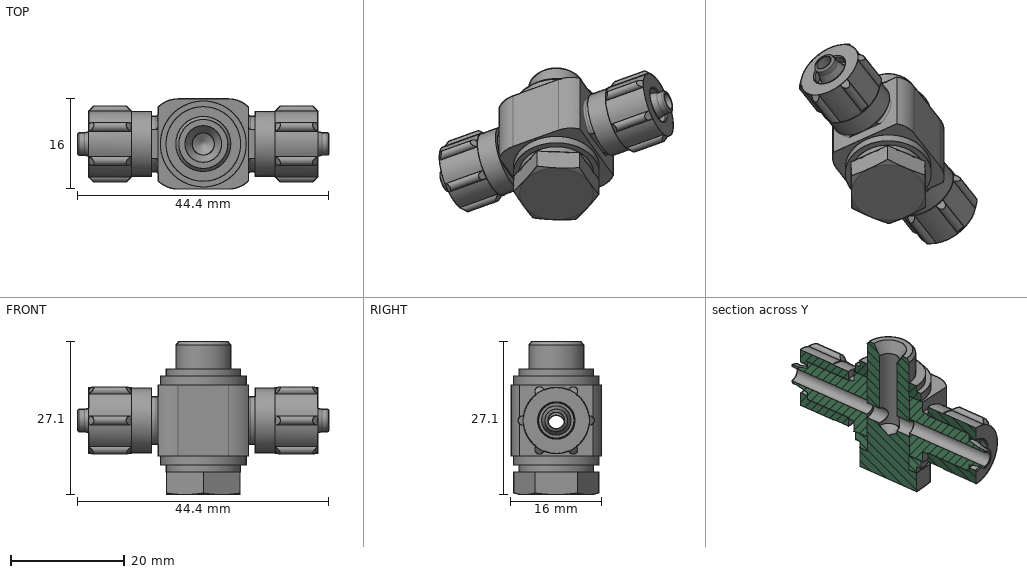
import cadquery as cq
import math


block_width = 16.0
block_height = 12.6
block_half = block_width / 2
corner_flat_half = 6.53
corner_radius = 4.97

collar_diameter = 9.9
collar_flats = 8.45
collar_fillet = 0.35
nut_start = 9.15
thread_diameter = 8.0
thread_end = 18.65
cone_diameter = 5.2
spout_start = 20.95
spout_diameter = 4.0
spout_end = 22.2
spout_edge_radius = 0.3
hose_bore_diameter = 2.9

nut_collar_diameter = 11.5
grip_start = 12.7
nut_end = 20.25
grip_diameter = 11.7
nut_mouth_diameter = 6.6
nut_throat_diameter = 6.2
nut_mouth_depth = 0.2
rib_count = 6
rib_circle_radius = 5.95
rib_radius = 0.8
rib_chamfer = 0.95

seal_diameter = 15.2
seal_thickness = 1.6
seal_step_diameter = 13.2
seal_step_height = 1.2
seal_height = seal_thickness + seal_step_height

shank_diameter = 9.72
bolt_protrusion = 4.9
bolt_chamfer_height = 0.65
bolt_chamfer_inset = 0.55
hex_across_flats = 13.05
hex_height = 4.0
hex_chamfer_diameter = 12.95
hex_chamfer_angle = 15.0
bolt_bore_diameter = 3.9
bolt_bore_bottom = -2.65
drill_tip_angle = 118.0
countersink_diameter = 6.5
countersink_depth = 2.05
cross_hole_diameter = 3.0
cross_hole_z = -0.6

head_top = -block_height / 2 - seal_height
head_bottom = head_top - hex_height
bolt_top = block_height / 2 + seal_height + bolt_protrusion


def rod(diameter, start, end):
    """Round rod along X between two distances from the middle."""
    return cq.Workplane("YZ").workplane(offset=start).circle(diameter / 2).extrude(end - start)


def upright(diameter, bottom, top):
    """Round rod along Z between two heights."""
    return cq.Workplane("XY").workplane(offset=bottom).circle(diameter / 2).extrude(top - bottom)


def place_on_side(shape, side):
    """The +X shape itself for side 1, or its half turn about Z for side -1."""
    return shape if side > 0 else shape.rotate((0, 0, 0), (0, 0, 1), 180)


def make_block():
    """Square block whose upright corners are arcs that run smoothly into the front and back."""
    arc_center_y = block_half - corner_radius
    end_rise = corner_flat_half - arc_center_y
    arc_center_x = block_half - math.sqrt(corner_radius**2 - end_rise**2)
    mid_angle = (math.radians(90) + math.asin(end_rise / corner_radius)) / 2
    mid_x = arc_center_x + corner_radius * math.cos(mid_angle)
    mid_y = arc_center_y + corner_radius * math.sin(mid_angle)
    return (
        cq.Workplane("XY")
        .workplane(offset=-block_height / 2)
        .moveTo(block_half, -corner_flat_half)
        .lineTo(block_half, corner_flat_half)
        .threePointArc((mid_x, mid_y), (arc_center_x, block_half))
        .lineTo(-arc_center_x, block_half)
        .threePointArc((-mid_x, mid_y), (-block_half, corner_flat_half))
        .lineTo(-block_half, -corner_flat_half)
        .threePointArc((-mid_x, -mid_y), (-arc_center_x, -block_half))
        .lineTo(arc_center_x, -block_half)
        .threePointArc((mid_x, -mid_y), (block_half, -corner_flat_half))
        .close()
        .extrude(block_height)
    )


def make_hose_collar():
    """Collar on the +X side with a flared foot, flattened at the top and bottom."""
    collar_radius = collar_diameter / 2
    foot_radius = collar_radius + collar_fillet
    foot_end = block_half + collar_fillet
    arc_inset = collar_fillet * (1 - math.sqrt(0.5))
    collar = (
        cq.Workplane("XY")
        .moveTo(0, 0)
        .lineTo(0, foot_radius)
        .lineTo(block_half, foot_radius)
        .threePointArc((block_half + arc_inset, collar_radius + arc_inset), (foot_end, collar_radius))
        .lineTo(nut_start, collar_radius)
        .lineTo(nut_start, 0)
        .close()
        .revolve(360, (0, 0, 0), (1, 0, 0))
    )
    flats = cq.Workplane("XY").box(2 * nut_start, block_width, collar_flats)
    return collar.intersect(flats)


def make_hose_spout():
    """Threaded stub, cone and round-edged spout on the +X side."""
    spout_radius = spout_diameter / 2
    spout = (
        cq.Workplane("XY")
        .moveTo(0, 0)
        .lineTo(0, thread_diameter / 2)
        .lineTo(thread_end, thread_diameter / 2)
        .lineTo(thread_end, cone_diameter / 2)
        .lineTo(spout_start, spout_radius)
        .lineTo(spout_end, spout_radius)
        .lineTo(spout_end, 0)
        .close()
        .revolve(360, (0, 0, 0), (1, 0, 0))
    )
    return spout.faces(">X").edges().fillet(spout_edge_radius)


def make_body():
    hose_end = make_hose_collar().union(make_hose_spout())
    body = make_block()
    for side in (1, -1):
        body = body.union(place_on_side(hose_end, side))
    body = body.cut(rod(hose_bore_diameter, -spout_end, spout_end))
    return body.cut(upright(shank_diameter, -block_height / 2, block_height / 2))


def make_rib():
    """Half-sunk grip rib along X on the +Y side, with both ends sloped down to the grip."""
    crest = rib_circle_radius + rib_radius
    foot = crest - rib_chamfer
    rib = rod(2 * rib_radius, grip_start, nut_end).translate((0, rib_circle_radius, 0))
    outline = (
        cq.Workplane("XY")
        .workplane(offset=-rib_radius)
        .moveTo(grip_start, 0)
        .lineTo(grip_start, foot)
        .lineTo(grip_start + rib_chamfer, crest)
        .lineTo(nut_end - rib_chamfer, crest)
        .lineTo(nut_end, foot)
        .lineTo(nut_end, 0)
        .close()
        .extrude(2 * rib_radius)
    )
    return rib.intersect(outline)


def make_nut(side):
    nut = rod(nut_collar_diameter, nut_start, grip_start)
    nut = nut.union(rod(grip_diameter, grip_start, nut_end))
    rib = make_rib()
    for index in range(rib_count):
        nut = nut.union(rib.rotate((0, 0, 0), (1, 0, 0), index * 360 / rib_count))
    nut = nut.cut(rod(thread_diameter, nut_start, thread_end))
    nut = nut.cut(rod(nut_throat_diameter, thread_end, nut_end))
    mouth = (
        cq.Workplane("YZ")
        .workplane(offset=nut_end - nut_mouth_depth)
        .circle(nut_throat_diameter / 2)
        .workplane(offset=nut_mouth_depth)
        .circle(nut_mouth_diameter / 2)
        .loft()
    )
    return place_on_side(nut.cut(mouth), side)


def make_seal(side):
    """Stepped seal ring above (side 1) or below (side -1) the block."""
    base = block_height / 2
    seal = upright(seal_diameter, base, base + seal_thickness)
    seal = seal.union(upright(seal_step_diameter, base, base + seal_height))
    seal = seal.cut(upright(shank_diameter, base, base + seal_height))
    return seal if side > 0 else seal.mirror("XY")


def make_hex_head():
    """Hexagon with corners on +Y and -Y, its bottom corners turned off by a shallow cone."""
    hex_corner_radius = hex_across_flats / math.sqrt(3)
    chamfer_radius = hex_chamfer_diameter / 2
    chamfer_height = (hex_corner_radius - chamfer_radius) * math.tan(math.radians(hex_chamfer_angle))
    head = (
        cq.Workplane("XY")
        .workplane(offset=head_bottom)
        .polygon(6, 2 * hex_corner_radius)
        .extrude(hex_height)
        .rotate((0, 0, 0), (0, 0, 1), 90)
    )
    turned = (
        cq.Workplane("XZ")
        .moveTo(0, head_bottom)
        .lineTo(chamfer_radius, head_bottom)
        .lineTo(hex_corner_radius, head_bottom + chamfer_height)
        .lineTo(hex_corner_radius, head_top)
        .lineTo(0, head_top)
        .close()
        .revolve(360, (0, 0, 0), (0, 1, 0))
    )
    return head.intersect(turned)


def make_bolt_bore():
    """Blind bore from the top with a countersunk mouth and a drill-point bottom."""
    bore_radius = bolt_bore_diameter / 2
    tip_depth = bore_radius / math.tan(math.radians(drill_tip_angle / 2))
    return (
        cq.Workplane("XZ")
        .moveTo(0, bolt_bore_bottom - tip_depth)
        .lineTo(bore_radius, bolt_bore_bottom)
        .lineTo(bore_radius, bolt_top - countersink_depth)
        .lineTo(countersink_diameter / 2, bolt_top)
        .lineTo(0, bolt_top)
        .close()
        .revolve(360, (0, 0, 0), (0, 1, 0))
    )


def make_bolt():
    shank = upright(shank_diameter, head_top, bolt_top)
    shank = shank.faces(">Z").edges().chamfer(bolt_chamfer_height, bolt_chamfer_inset)
    cross_hole = rod(cross_hole_diameter, -shank_diameter / 2, shank_diameter / 2)
    bolt = make_hex_head().union(shank).cut(make_bolt_bore())
    return bolt.cut(cross_hole.translate((0, 0, cross_hole_z)))


body = make_body()
bolt = make_bolt()
seals = [make_seal(side) for side in (1, -1)]
nuts = [make_nut(side) for side in (1, -1)]

result = cq.Compound.makeCompound(
    [body.val(), bolt.val(), *[seal.val() for seal in seals], *[nut.val() for nut in nuts]]
)